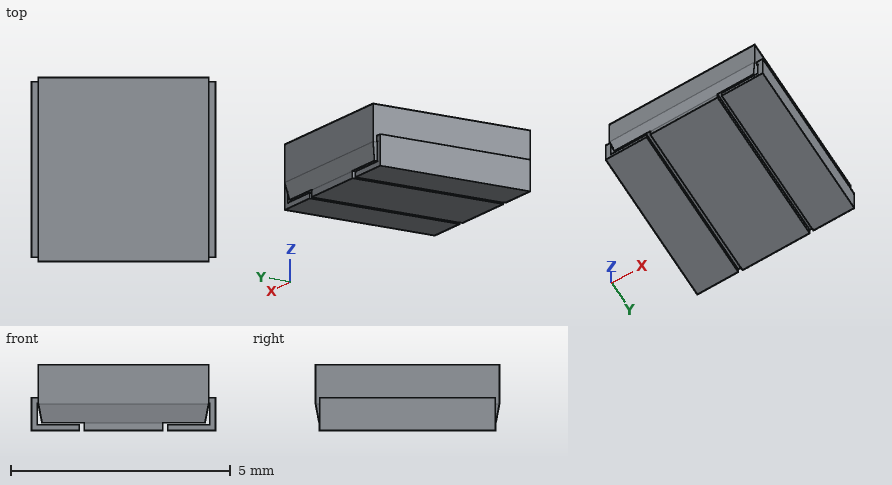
import cadquery as cq

overall_length = 4.19
overall_height = 1.5

body_width = 3.88
taper_inset = 0.085
taper_bottom = 0.175
taper_top = 0.605
pad_width = 1.795

terminal_length = 3.997
terminal_height = overall_height / 2
terminal_thickness = 0.135
pad_to_foot_gap = 0.105
clearance_top = terminal_height - terminal_thickness

foot_end = pad_width / 2 + pad_to_foot_gap
outer_face = overall_length / 2
arm_inner_face = outer_face - terminal_thickness
body_face = body_width / 2


def make_body():
    """Block with a tapered underside and a standoff pad along Y."""
    block = (
        cq.Workplane("XY", origin=(0, 0, taper_top))
        .rect(body_width, overall_length)
        .extrude(overall_height - taper_top)
    )
    bottom_width = body_width - 2 * taper_inset
    bottom_length = overall_length - 2 * taper_inset
    taper = (
        cq.Workplane("XY", origin=(0, 0, taper_bottom))
        .rect(bottom_width, bottom_length)
        .workplane(offset=taper_top - taper_bottom)
        .rect(body_width, overall_length)
        .loft(ruled=True)
    )
    pad = cq.Workplane("XY").rect(pad_width, bottom_length).extrude(taper_bottom)
    return block.union(taper).union(pad)


def make_terminal(side):
    """L-shaped strip on the given X side (-1 or 1), with a lip that meets the body."""
    profile = [
        (foot_end, 0),
        (outer_face, 0),
        (outer_face, terminal_height),
        (body_face, terminal_height),
        (body_face, clearance_top),
        (arm_inner_face, clearance_top),
        (arm_inner_face, terminal_thickness),
        (foot_end, terminal_thickness),
    ]
    return (
        cq.Workplane("XZ")
        .polyline([(side * x, z) for x, z in profile])
        .close()
        .extrude(terminal_length / 2, both=True)
    )


body = make_body()
terminals = [make_terminal(side) for side in (-1, 1)]

result = cq.Compound.makeCompound([body.val(), *[terminal.val() for terminal in terminals]])